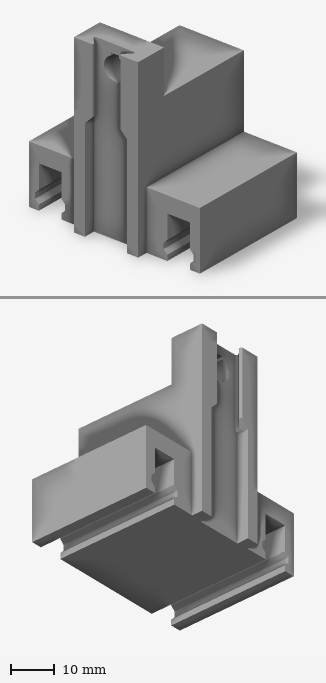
import cadquery as cq

overall_width = 50.8
overall_depth = 38.0
overall_height = 50.8

column_width = 19.1
plate_thickness = 9.35
column_rear_height = 38.2
side_block_height = 17.05
side_block_depth = 35.0

channel_offset = 19.1
channel_width = 6.7
channel_height = 12.35
groove_depth = 1.1
groove_bottom = 1.65
groove_top = 5.45

slot_depth = 3.3
recess_half_width = 6.3
recess_wall_height = 29.55
mouth_half_width = 4.05
lip_thickness = 0.7
undercut = 1.9
dovetail_corner_radius = 0.4
shoulder_top = recess_wall_height + recess_half_width - mouth_half_width

hole_radius = 3.3
hole_height = 44.45
key_width = 2.4
key_top = 48.25


def block(width, front, back, height):
    """Box centred on X, standing on Z = 0 between two Y positions."""
    return (
        cq.Workplane("XY")
        .box(width, back - front, height, centered=(True, False, False))
        .translate((0, front, 0))
    )


def clip_channel(center_x):
    """Channel open at the bottom, with a bevelled groove in each wall."""
    half = channel_width / 2
    wide_half = half + groove_depth
    right_side = [
        (half, 0),
        (half, groove_bottom),
        (wide_half, groove_bottom + groove_depth),
        (wide_half, groove_top - groove_depth),
        (half, groove_top),
        (half, channel_height),
    ]
    left_side = [(-x, z) for x, z in reversed(right_side)]
    outline = [(center_x + x, z) for x, z in right_side + left_side]
    return cq.Workplane("XZ").polyline(outline).close().extrude(-overall_depth)


def lower_recess():
    """Wide recess whose 45 degree shoulders narrow to the dovetail mouth."""
    return (
        cq.Workplane("XZ")
        .moveTo(-recess_half_width, 0)
        .lineTo(recess_half_width, 0)
        .lineTo(recess_half_width, recess_wall_height)
        .lineTo(mouth_half_width, shoulder_top)
        .lineTo(-mouth_half_width, shoulder_top)
        .lineTo(-recess_half_width, recess_wall_height)
        .close()
        .extrude(-slot_depth)
    )


def dovetail_slot():
    """Undercut slot along Z with rounded mouth edges and floor corners."""
    radius = dovetail_corner_radius
    wide_half = mouth_half_width + undercut
    undercut_end = lip_thickness + undercut

    def half_slot(side):
        return (
            cq.Workplane("XY")
            .moveTo(0, 0)
            .lineTo(side * (mouth_half_width + radius), 0)
            .radiusArc((side * mouth_half_width, radius), side * radius)
            .lineTo(side * mouth_half_width, lip_thickness)
            .lineTo(side * wide_half, undercut_end)
            .lineTo(side * wide_half, slot_depth - radius)
            .radiusArc((side * (wide_half - radius), slot_depth), -side * radius)
            .lineTo(0, slot_depth)
            .close()
            .extrude(overall_height - recess_wall_height)
            .translate((0, 0, recess_wall_height))
        )

    return half_slot(1).union(half_slot(-1))


def keyed_hole():
    """Round hole with a square key notch at its top."""
    bore = cq.Workplane("XZ").center(0, hole_height).circle(hole_radius).extrude(-plate_thickness)
    key_height = key_top - hole_height
    key = block(key_width, 0, plate_thickness, key_height).translate((0, 0, hole_height))
    return bore.union(key)


plate = block(column_width, 0, plate_thickness, overall_height)
column = block(column_width, 0, overall_depth, column_rear_height)
side_blocks = block(overall_width, overall_depth - side_block_depth, overall_depth, side_block_height)

result = plate.union(column).union(side_blocks)
for center_x in (-channel_offset, channel_offset):
    result = result.cut(clip_channel(center_x))
result = result.cut(lower_recess()).cut(dovetail_slot()).cut(keyed_hole())